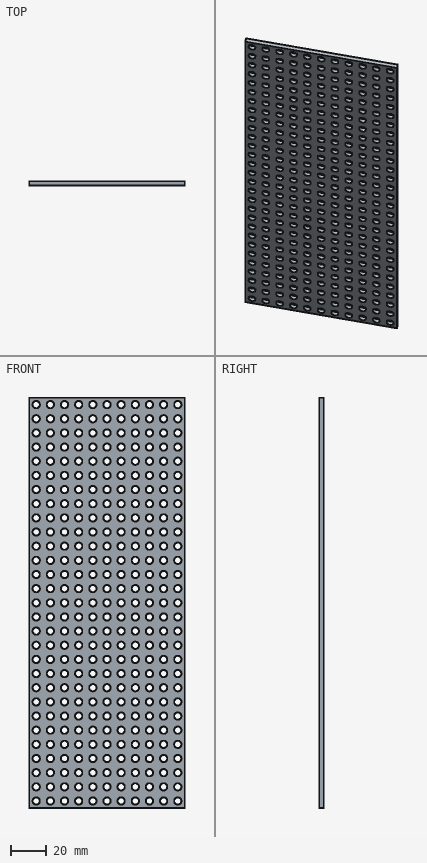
import cadquery as cq

plate_height = 232.0
plate_thickness = 2.5

columns = 11
rows = 29
pitch = plate_height / rows
plate_width = columns * pitch
hole_diameter = pitch / 2

plate = cq.Workplane("XY").box(plate_width, plate_thickness, plate_height)

result = (
    plate.faces("<Y")
    .workplane(centerOption="CenterOfBoundBox")
    .rarray(pitch, pitch, columns, rows)
    .hole(hole_diameter)
)